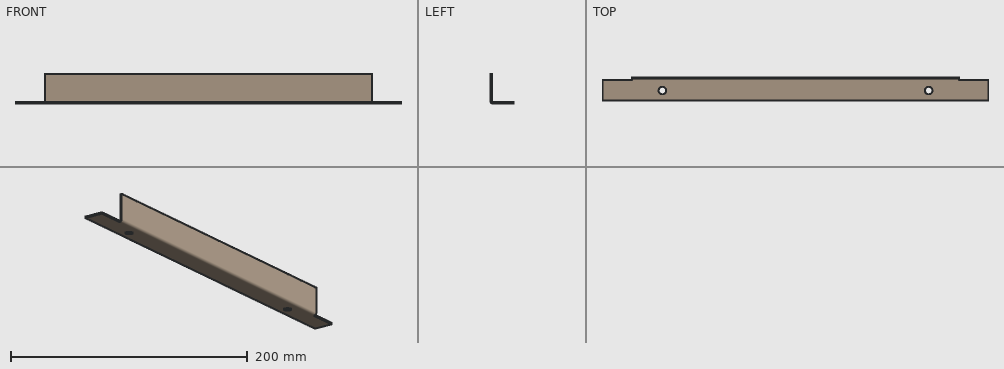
import cadquery as cq

length = 326.0
depth = 20.0
height = 25.0
thickness = 1.5

inner_radius = 1.0
outer_radius = inner_radius + thickness

upright_inset = 24.8
upright_length = length - 2 * upright_inset

hole_diameter = 6.2
hole_spacing = 225.0
hole_from_front = 8.5

bend_start_y = depth - outer_radius
inner_face_y = depth - thickness


def base_flange():
    """Flat strip over the full length, ending where the bend starts."""
    return cq.Workplane("XY").box(
        length, bend_start_y, thickness, centered=(True, False, False)
    )


def bent_upright():
    """Quarter-round bend and upright flange, extruded along X."""
    return (
        cq.Workplane("YZ", origin=(-upright_length / 2, 0, 0))
        .moveTo(bend_start_y, 0)
        .radiusArc((depth, outer_radius), -outer_radius)
        .lineTo(depth, height)
        .lineTo(inner_face_y, height)
        .lineTo(inner_face_y, outer_radius)
        .radiusArc((bend_start_y, thickness), inner_radius)
        .close()
        .extrude(upright_length)
    )


def mounting_holes():
    """Pair of cylinders passing through the base flange."""
    return (
        cq.Workplane("XY")
        .pushPoints([(side * hole_spacing / 2, hole_from_front) for side in (-1, 1)])
        .circle(hole_diameter / 2)
        .extrude(thickness)
    )


result = base_flange().union(bent_upright()).cut(mounting_holes())